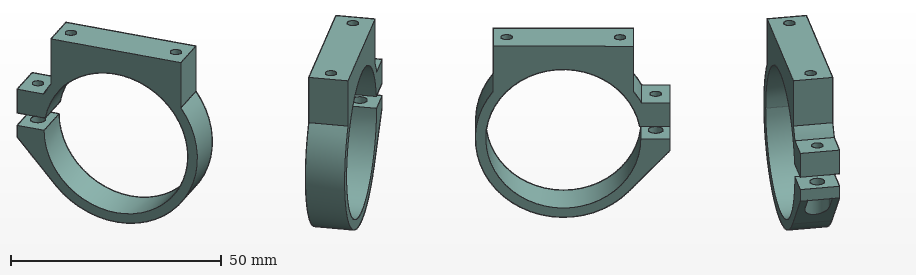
import cadquery as cq
import math

outer_radius = 20.9
overall_length = 46.2
wall = 2.5
bore_radius = outer_radius - wall
width = 9.5

block_length = 33.3
block_top = 24.65
mount_hole_diameter = 2.7
mount_hole_spacing = 26.9
mount_hole_depth = 8.0
drill_point_angle = 118

jaw_end_x = outer_radius - overall_length
upper_jaw_top = 9.6
gap_top = 3.3
gap_bottom = 0
lower_jaw_tip = -3.1
threaded_hole_diameter = 2.7
clearance_hole_diameter = 3.5
clamp_hole_inset = 3.4
clamp_hole_x = jaw_end_x + clamp_hole_inset
head_slot_width = 5.95


def plate(points):
    """Extrude an XZ outline across the full width, centred on Y = 0."""
    return cq.Workplane("XZ").polyline(points).close().extrude(width / 2, both=True)


def cylinder(radius):
    """Cylinder on the ring axis, spanning the full width."""
    return cq.Workplane("XZ").circle(radius).extrude(width / 2, both=True)


def rectangle(x_min, x_max, z_min, z_max):
    """Full-width block between the given X and Z limits."""
    return plate([(x_min, z_min), (x_max, z_min), (x_max, z_max), (x_min, z_max)])


def lower_jaw():
    """Jaw whose sloping underside runs tangent into the ring."""
    tip_distance = math.hypot(jaw_end_x, lower_jaw_tip)
    tip_angle = math.atan2(lower_jaw_tip, jaw_end_x)
    tangent_angle = tip_angle + math.acos(outer_radius / tip_distance)
    tangent_point = (
        outer_radius * math.cos(tangent_angle),
        outer_radius * math.sin(tangent_angle),
    )
    return plate([(jaw_end_x, gap_bottom), (jaw_end_x, lower_jaw_tip), tangent_point, (0, gap_bottom)])


def mount_hole(x):
    """Blind drilled hole with a conical end, entering from the block top."""
    radius = mount_hole_diameter / 2
    point_depth = radius / math.tan(math.radians(drill_point_angle / 2))
    floor = block_top - mount_hole_depth
    return (
        cq.Workplane("XZ")
        .polyline([(0, block_top), (radius, block_top), (radius, floor), (0, floor - point_depth)])
        .close()
        .revolve(360, (0, 0), (0, 1))
        .translate((x, 0, 0))
    )


def clamp_hole(diameter, z_min, z_max):
    """Vertical screw hole between two heights."""
    return (
        cq.Workplane("XY", origin=(clamp_hole_x, 0, z_min))
        .circle(diameter / 2)
        .extrude(z_max - z_min)
    )


def head_slot():
    """Round-ended screw head seat under the lower jaw, open towards -X."""
    seat = cq.Workplane("XY", origin=(clamp_hole_x, 0, lower_jaw_tip))
    round_end = seat.circle(head_slot_width / 2).extrude(-outer_radius)
    open_length = clamp_hole_x - jaw_end_x
    open_side = (
        seat.center(-open_length / 2, 0)
        .rect(open_length, head_slot_width)
        .extrude(-outer_radius)
    )
    return round_end.union(open_side)


block = rectangle(-block_length / 2, block_length / 2, 0, block_top)
upper_jaw = rectangle(jaw_end_x, 0, gap_top, upper_jaw_top)
gap = rectangle(jaw_end_x, 0, gap_bottom, gap_top)

result = cylinder(outer_radius).union(block).union(upper_jaw).union(lower_jaw())
result = result.cut(cylinder(bore_radius)).cut(gap)
for side in (-1, 1):
    result = result.cut(mount_hole(side * mount_hole_spacing / 2))
result = result.cut(clamp_hole(threaded_hole_diameter, gap_top, upper_jaw_top))
result = result.cut(clamp_hole(clearance_hole_diameter, lower_jaw_tip, gap_bottom))
result = result.cut(head_slot())